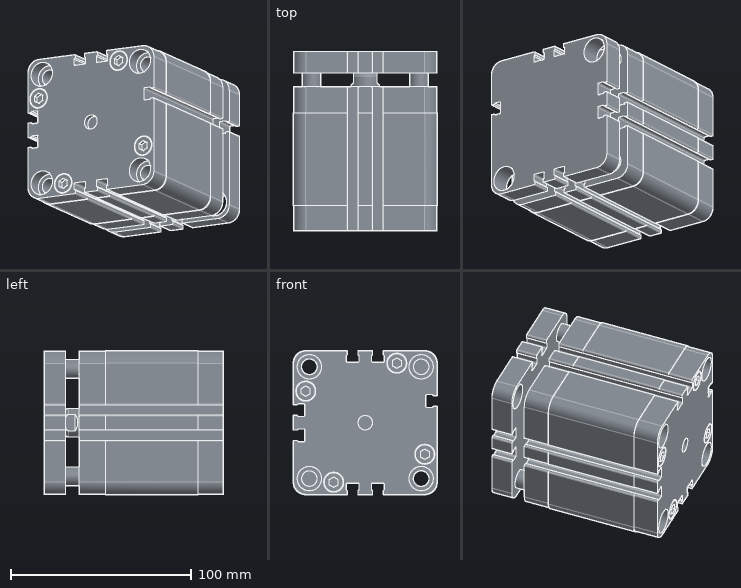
import cadquery as cq
import math


TOTAL_LENGTH = 99.5
REAR_CAP_LENGTH = 14.0
TUBE_LENGTH = 51.5
FRONT_CAP_LENGTH = 14.5
PLATE_THICKNESS = 12.0
TUBE_END = REAR_CAP_LENGTH + TUBE_LENGTH
BODY_END = TUBE_END + FRONT_CAP_LENGTH
PLATE_START = TOTAL_LENGTH - PLATE_THICKNESS

TUBE_SIDE = 80.0
CAP_SIDE = 79.5
CORNER_RADIUS = 7.0

SLOT_OFFSET = 7.0
SINGLE_SLOT_OFFSET = 12.0
SLOT_MOUTH_WIDTH = 5.7
SLOT_CAVITY_WIDTH = 7.0
SLOT_DEPTH = 6.4
SLOT_LIP_DEPTH = 2.2
SLOT_LIP_CHAMFER = (SLOT_CAVITY_WIDTH - SLOT_MOUTH_WIDTH) / 2
SLOT_FLOOR_RADIUS = 0.5
SLOT_MOUTH_RADIUS = 0.4

MOUNT_OFFSET = 31.0
MOUNT_COUNTERBORE_DIAMETER = 13.5
MOUNT_COUNTERBORE_DEPTH = 8.5
MOUNT_HOLE_DIAMETER = 8.57
BLIND_HOLE_DEPTH = 30.0
PLATE_HOLE_DIAMETER = 14.0

PORT_DIAMETER = 8.0
PORT_DEPTH = 4.0

SCREW_NEAR_OFFSET = 17.5
SCREW_FAR_OFFSET = 33.0
SCREW_RECESS_DIAMETER = 11.1
SCREW_HEAD_DIAMETER = 10.5
SCREW_HEAD_HEIGHT = 6.0
SOCKET_ACROSS_FLATS = 5.0
SOCKET_DEPTH = 3.0

ROD_DIAMETER = 16.0
ROD_ACROSS_FLATS = 13.2
ROD_FLAT_LENGTH = 5.3
ROD_ROUND_RADIUS = 2.0
ROD_PLATE_INSET = 0.4
GUIDE_ROD_DIAMETER = 10.5
GUIDE_ROD_OFFSET = 29.8


def plane_at(y):
    """XZ work plane at the given Y whose extrusions run toward +Y; local axes are (-X, Z)."""
    return cq.Workplane(cq.Plane(origin=(0, y, 0), xDir=(-1, 0, 0), normal=(0, 1, 0)))


def rounded_block(side, y_start, length):
    return plane_at(y_start).rect(side, side).extrude(length).edges("|Y").fillet(CORNER_RADIUS)


def cylinder(diameter, x, z, y_start, length):
    return plane_at(y_start).center(-x, z).circle(diameter / 2).extrude(length)


def slot_cutter(offset, turn, side, y_start, length):
    """T-slot with rounded mouth in the +Z side of a block at X = offset, then turned about Y."""
    outer = side / 2
    floor = TUBE_SIDE / 2 - SLOT_DEPTH
    lip = TUBE_SIDE / 2 - SLOT_LIP_DEPTH
    mouth = SLOT_MOUTH_WIDTH / 2
    cavity = SLOT_CAVITY_WIDTH / 2
    flare = mouth + SLOT_MOUTH_RADIUS
    throat = outer - SLOT_MOUTH_RADIUS
    reach = SLOT_MOUTH_RADIUS * math.cos(math.pi / 4)
    arc_x = flare - reach
    arc_z = throat + reach
    slot = (
        plane_at(y_start)
        .center(-offset, 0)
        .moveTo(flare, outer)
        .threePointArc((arc_x, arc_z), (mouth, throat))
        .lineTo(mouth, lip)
        .lineTo(cavity, lip - SLOT_LIP_CHAMFER)
        .lineTo(cavity, floor)
        .lineTo(-cavity, floor)
        .lineTo(-cavity, lip - SLOT_LIP_CHAMFER)
        .lineTo(-mouth, lip)
        .lineTo(-mouth, throat)
        .threePointArc((-arc_x, arc_z), (-flare, outer))
        .close()
        .extrude(length)
    )
    slot = slot.faces("<Z").edges("|Y").fillet(SLOT_FLOOR_RADIUS)
    return slot.rotate((0, 0, 0), (0, 1, 0), turn)


def slotted_block(side, y_start, length):
    """Rounded block with slot pairs on +Z, -Z and -X and a single slot on +X."""
    block = rounded_block(side, y_start, length)
    for turn in (0, 180, -90):
        for offset in (SLOT_OFFSET, -SLOT_OFFSET):
            block = block.cut(slot_cutter(offset, turn, side, y_start, length))
    return block.cut(slot_cutter(-SINGLE_SLOT_OFFSET, 90, side, y_start, length))


def piston_rod():
    """Round rod across the gap, rounded where it enters the plate, with wrench flats facing +X and -X."""
    radius = ROD_DIAMETER / 2
    flat = ROD_ACROSS_FLATS / 2
    flat_end = PLATE_START - ROD_FLAT_LENGTH
    runout = flat_end - (radius - flat)
    rod_end = PLATE_START + ROD_PLATE_INSET
    rod = cylinder(ROD_DIAMETER, 0, 0, BODY_END, rod_end - BODY_END)
    rod = rod.faces(">Y").edges().fillet(ROD_ROUND_RADIUS)
    profile = [(radius, rod_end), (flat, rod_end), (flat, flat_end), (radius, runout)]
    for sign in (1, -1):
        points = [(sign * x, y) for x, y in profile]
        cutter = cq.Workplane("XY").polyline(points).close().extrude(radius, both=True)
        rod = rod.cut(cutter)
    return rod


def screw_recess(x, z):
    """Ring-shaped gap around a flush screw head, plus its hexagon socket."""
    recess = cylinder(SCREW_RECESS_DIAMETER, x, z, 0, SCREW_HEAD_HEIGHT)
    head = cylinder(SCREW_HEAD_DIAMETER, x, z, 0, SCREW_HEAD_HEIGHT)
    across_corners = SOCKET_ACROSS_FLATS / math.cos(math.pi / 6)
    socket = plane_at(0).polygon(6, across_corners).extrude(SOCKET_DEPTH)
    socket = socket.rotate((0, 0, 0), (0, 1, 0), 90).translate((x, 0, z))
    return recess.cut(head).union(socket)


result = slotted_block(CAP_SIDE, 0, REAR_CAP_LENGTH)
result = result.union(slotted_block(TUBE_SIDE, REAR_CAP_LENGTH, TUBE_LENGTH))
result = result.union(slotted_block(CAP_SIDE, TUBE_END, FRONT_CAP_LENGTH))
result = result.union(slotted_block(CAP_SIDE, PLATE_START, PLATE_THICKNESS))

result = result.union(piston_rod())
for sign in (1, -1):
    center = sign * GUIDE_ROD_OFFSET
    result = result.union(cylinder(GUIDE_ROD_DIAMETER, center, center, BODY_END, PLATE_START - BODY_END))

for x_sign in (1, -1):
    for z_sign in (1, -1):
        x = x_sign * MOUNT_OFFSET
        z = z_sign * MOUNT_OFFSET
        result = result.cut(cylinder(MOUNT_COUNTERBORE_DIAMETER, x, z, 0, MOUNT_COUNTERBORE_DEPTH))
        if x_sign == z_sign:
            result = result.cut(cylinder(MOUNT_HOLE_DIAMETER, x, z, 0, BLIND_HOLE_DEPTH))
        else:
            result = result.cut(cylinder(MOUNT_HOLE_DIAMETER, x, z, 0, BODY_END))
            result = result.cut(cylinder(PLATE_HOLE_DIAMETER, x, z, PLATE_START, PLATE_THICKNESS))

result = result.cut(cylinder(PORT_DIAMETER, 0, 0, 0, PORT_DEPTH))
for sign in (1, -1):
    result = result.cut(screw_recess(sign * SCREW_NEAR_OFFSET, sign * SCREW_FAR_OFFSET))
    result = result.cut(screw_recess(sign * SCREW_FAR_OFFSET, -sign * SCREW_NEAR_OFFSET))